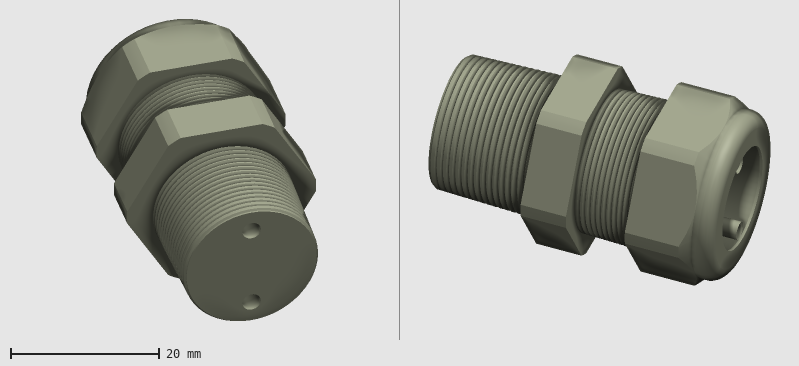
import cadquery as cq
import math


overall_length = 41.91
nut_end = 11.83
body_hex_start = 20.37
body_hex_end = 26.94

across_flats = 23.88
corner_diameter = 26.49
corner_radius = corner_diameter / 2

dome_radius = 11.91
dome_fillet = 2.0
dome_length = 2.72
nut_cone_end = dome_length + corner_radius - dome_radius

taper = 1 / 32
half_flank_angle = math.radians(30)

nut_thread_pitch = 0.762
nut_thread_grooves = 11
nut_thread_first_groove = 12.155
nut_thread_start_radius = 10.36
nut_thread_root_radius = 9.72

entry_thread_pitch = 0.892
entry_thread_grooves = 15
entry_thread_start_radius = 9.84
entry_thread_root_radius = 9.12
neck_radius = 9.05
neck_end = 27.2
entry_thread_start = 27.84
entry_thread_first_groove = entry_thread_start + entry_thread_pitch / 2

bore_radius = 15.19 / 2
recess_radius = 14.64 / 2
recess_depth = 0.4
wire_hole_diameter = 2.56
wire_hole_offset = recess_radius - wire_hole_diameter / 2


def cylinder(start, end, radius):
    return cq.Workplane("YZ", origin=(start, 0, 0)).circle(radius).extrude(end - start)


def rounded_hexagon(start, end):
    """Hexagonal prism with flats at +Z and -Z and corners cut to a cylinder."""
    across_corners = across_flats / math.cos(math.pi / 6)
    prism = cq.Workplane("YZ", origin=(start, 0, 0)).polygon(6, across_corners).extrude(end - start)
    return prism.intersect(cylinder(start, end, corner_radius))


def groove_points(center, root_radius, thread_start, start_radius):
    """Edge, root and edge of one V groove; both edges lie on the tapered crest line."""
    slope = math.tan(half_flank_angle)
    depth_at_center = start_radius - taper * (center - thread_start) - root_radius
    left_width = depth_at_center * slope / (1 - taper * slope)
    right_width = depth_at_center * slope / (1 + taper * slope)
    return [
        (center - left_width, root_radius + left_width / slope),
        (center, root_radius),
        (center + right_width, root_radius + right_width / slope),
    ]


def revolve_about_axis(profile):
    return profile.close().revolve(360, (0, 0, 0), (1, 0, 0))


def domed_nut():
    """Compression nut: domed collar, then a hexagon chamfered by a cone."""
    envelope = revolve_about_axis(
        cq.Workplane("XY")
        .moveTo(0, 0)
        .lineTo(0, dome_radius - dome_fillet)
        .radiusArc((dome_fillet, dome_radius), dome_fillet)
        .lineTo(dome_length, dome_radius)
        .lineTo(nut_cone_end, corner_radius)
        .lineTo(nut_end, corner_radius)
        .lineTo(nut_end, 0)
    )
    return envelope.intersect(rounded_hexagon(0, nut_end))


def nut_thread():
    """Threaded length between the nut and the body hexagon."""
    profile = cq.Workplane("XY").moveTo(nut_end, 0).lineTo(nut_end, nut_thread_start_radius)
    for i in range(nut_thread_grooves):
        center = nut_thread_first_groove + i * nut_thread_pitch
        for point in groove_points(center, nut_thread_root_radius, nut_end, nut_thread_start_radius):
            profile = profile.lineTo(*point)
    end_radius = nut_thread_start_radius - taper * (body_hex_start - nut_end)
    profile = profile.lineTo(body_hex_start, end_radius).lineTo(body_hex_start, 0)
    return revolve_about_axis(profile)


def entry_thread():
    """Neck, concave run-up to the first crest, and the tapered entry thread."""
    profile = (
        cq.Workplane("XY")
        .moveTo(body_hex_end, 0)
        .lineTo(body_hex_end, neck_radius)
        .lineTo(neck_end, neck_radius)
        .tangentArcPoint((entry_thread_start, entry_thread_start_radius), relative=False)
    )
    for i in range(entry_thread_grooves + 1):
        center = entry_thread_first_groove + i * entry_thread_pitch
        points = groove_points(
            center, entry_thread_root_radius, entry_thread_start, entry_thread_start_radius
        )
        if i == entry_thread_grooves:
            points = points[:2]
        for point in points:
            profile = profile.lineTo(*point)
    profile = profile.lineTo(overall_length, entry_thread_root_radius).lineTo(overall_length, 0)
    return revolve_about_axis(profile)


def gland_housing():
    body_hexagon = rounded_hexagon(body_hex_start, body_hex_end)
    solid = domed_nut().union(nut_thread()).union(body_hexagon).union(entry_thread())
    return solid.cut(cylinder(0, overall_length, bore_radius))


def sealing_plug():
    """Plug filling the bore, with a shallow recess in its face and two wire holes."""
    plug = cylinder(0, overall_length, bore_radius).cut(cylinder(0, recess_depth, recess_radius))
    wire_holes = (
        cq.Workplane("YZ")
        .pushPoints([(0, wire_hole_offset), (0, -wire_hole_offset)])
        .circle(wire_hole_diameter / 2)
        .extrude(overall_length)
    )
    return plug.cut(wire_holes)


housing = gland_housing()
plug = sealing_plug()

result = cq.Compound.makeCompound([housing.val(), plug.val()])